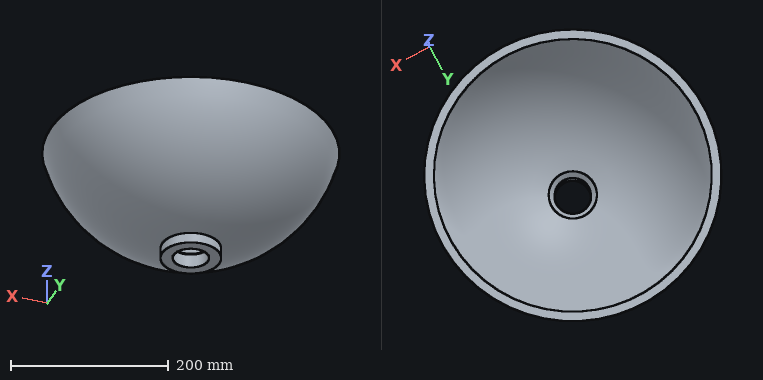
import cadquery as cq
import math

rim_radius = 188.5
height = 154.5

outer_sphere_radius = 195.0
wall = 12.0
inner_sphere_radius = outer_sphere_radius - wall
centre_z = height + math.sqrt(outer_sphere_radius**2 - rim_radius**2)

tail_radius = 77.0 / 2
hole_radius = 46.0 / 2
seat_radius = 30.5
seat_depth = 6.0


def ball(radius):
    return cq.Workplane("XY").sphere(radius).translate((0, 0, centre_z))


def floor_height(radius):
    """Height of the inner surface at a given distance from the axis."""
    return centre_z - math.sqrt(inner_sphere_radius**2 - radius**2)


def make_bowl_with_tail():
    below_rim = cq.Workplane("XY").circle(outer_sphere_radius).extrude(height)
    bowl = ball(outer_sphere_radius).intersect(below_rim)
    tail = cq.Workplane("XY").circle(tail_radius).extrude(floor_height(0))
    return bowl.union(tail).cut(ball(inner_sphere_radius))


def make_drain():
    seat_top = floor_height(seat_radius)
    seat_bottom = seat_top - seat_depth
    return (
        cq.Workplane("XZ")
        .moveTo(0, 0)
        .lineTo(hole_radius, 0)
        .lineTo(hole_radius, seat_bottom)
        .lineTo(seat_radius, seat_top)
        .lineTo(0, seat_top)
        .close()
        .revolve(360, (0, 0, 0), (0, 1, 0))
    )


result = make_bowl_with_tail().cut(make_drain())